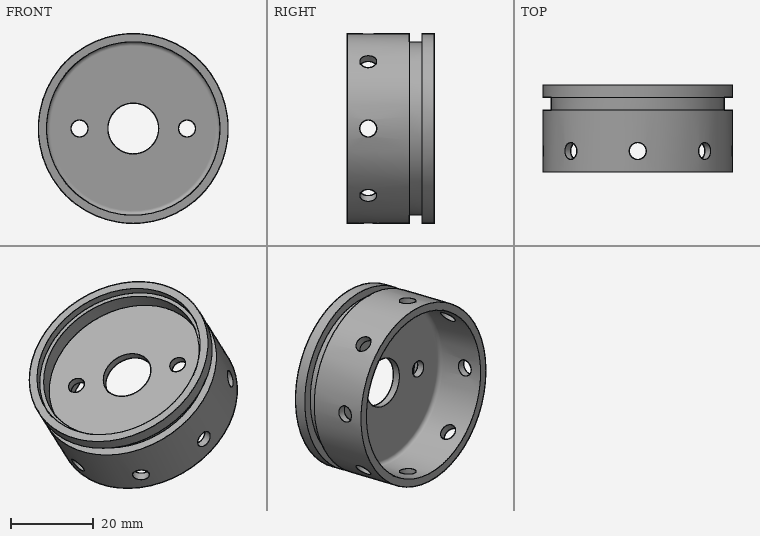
import cadquery as cq

outer_diameter = 46.0
length = 21.1
bore_diameter = 42.0
floor_thickness = 2.0
rear_recess_depth = 6.03
rear_recess_diameter = 40.0
rear_mouth_depth = 2.0
rear_mouth_diameter = bore_diameter
floor_fillet = 1.0

flange_width = 3.05
groove_width = 3.05
groove_diameter = bore_diameter

center_hole_diameter = 12.25
small_hole_diameter = 4.05
floor_hole_offset = 13.0
radial_hole_count = 8
radial_hole_from_rim = 5.1


def y_cylinder(diameter, start, end):
    """Cylinder on the Y axis between two Y positions."""
    return (
        cq.Workplane("XZ", origin=(0, start, 0))
        .circle(diameter / 2)
        .extrude(start - end)
    )


def bore():
    """Cup interior with a rounded corner at the floor."""
    cavity = y_cylinder(bore_diameter, 0, length - rear_recess_depth - floor_thickness)
    return cavity.faces(">Y").edges().fillet(floor_fillet)


def rear_recess():
    """Round recess in the back, stepped wider at its mouth inside the flange."""
    recess = y_cylinder(rear_recess_diameter, length - rear_recess_depth, length)
    mouth = y_cylinder(rear_mouth_diameter, length - rear_mouth_depth, length)
    return recess.union(mouth)


def groove():
    """Ring removed between the flange and the main wall."""
    end = length - flange_width
    start = end - groove_width
    ring = y_cylinder(outer_diameter, start, end)
    return ring.cut(y_cylinder(groove_diameter, start, end))


def floor_holes():
    """Center hole and two small holes through the floor."""
    holes = y_cylinder(center_hole_diameter, 0, length)
    for x in (-floor_hole_offset, floor_hole_offset):
        holes = holes.union(y_cylinder(small_hole_diameter, 0, length).translate((x, 0, 0)))
    return holes


def radial_hole(angle):
    """Hole through one side of the wall, turned about the Y axis."""
    hole = (
        cq.Workplane("XY", origin=(0, radial_hole_from_rim, 0))
        .circle(small_hole_diameter / 2)
        .extrude(outer_diameter)
    )
    return hole.rotate((0, 0, 0), (0, 1, 0), angle)


body = y_cylinder(outer_diameter, 0, length)
body = body.cut(bore()).cut(rear_recess()).cut(groove()).cut(floor_holes())
for index in range(radial_hole_count):
    body = body.cut(radial_hole(index * 360 / radial_hole_count))

result = body.translate((0, -length / 2, 0))